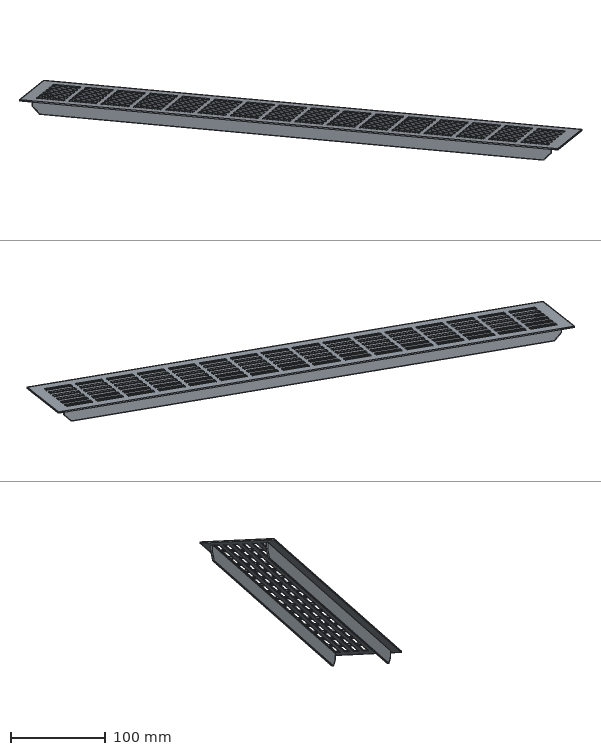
import cadquery as cq

plate_length = 600.0
plate_width = 80.0
plate_thickness = 1.5

slot_columns = 16
slot_rows = 6
slot_length = 30.0
slot_width = 5.5
slot_pitch_x = 36.0
slot_pitch_y = 10.0

total_height = 17.0
flange_height = total_height - plate_thickness
flange_thickness = 2.0
flange_end_inset = 11.0
flange_side_inset = 9.0
flange_corner_cut = 8.5
flange_length = plate_length - 2 * flange_end_inset


def face_plate():
    """Flat rectangular plate pierced by the slot grid."""
    plate = cq.Workplane("XY").box(
        plate_length, plate_width, plate_thickness, centered=(True, True, False)
    )
    slots = (
        cq.Workplane("XY")
        .rarray(slot_pitch_x, slot_pitch_y, slot_columns, slot_rows)
        .rect(slot_length, slot_width)
        .extrude(plate_thickness)
    )
    return plate.cut(slots)


def flange(side):
    """Vertical flange with cut lower corners; side is -1 or +1 along Y."""
    center_y = side * (plate_width / 2 - flange_side_inset - flange_thickness / 2)
    return (
        cq.Workplane("XY")
        .box(flange_length, flange_thickness, flange_height)
        .edges("|Y and <Z")
        .chamfer(flange_corner_cut)
        .translate((0, center_y, -flange_height / 2))
    )


result = face_plate()
for side in (-1, 1):
    result = result.union(flange(side))